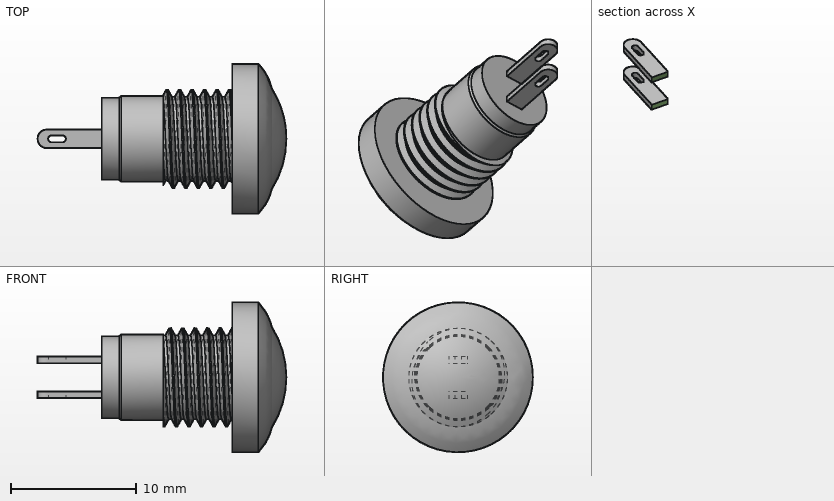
import cadquery as cq
import math


flange_diameter = 12.0
flange_thickness = 2.1
head_height = 4.35
dome_diameter = 8.0
shoulder_height = 1.09
shoulder_radius = 4.3

thread_length = 5.5
thread_pitch = 1.0
major_diameter = 7.88
minor_diameter = 6.74
crest_width = thread_pitch / 8
root_width = thread_pitch / 4
first_crest_offset = 0.055

barrel_diameter = 6.87
barrel_length = 3.53
spigot_diameter = 6.58
spigot_length = 1.4
barrel_bevel_length = 0.18

tag_length = 5.12
tag_width = 1.5
tag_thickness = 0.55
tag_spacing = 2.79
slot_length = 1.4
slot_width = 0.52
slot_to_tip = 1.56

thread_rear_x = -thread_length
barrel_rear_x = thread_rear_x - barrel_length
rear_face_x = barrel_rear_x - spigot_length
tag_tip_x = rear_face_x - tag_length
shoulder_top_x = flange_thickness + shoulder_height


def cylinder(diameter, start_x, end_x):
    """Solid cylinder on the X axis."""
    return cq.Workplane("YZ", origin=(start_x, 0, 0)).circle(diameter / 2).extrude(end_x - start_x)


def make_head():
    """Flange with a convex shoulder that rises to a central spherical dome."""
    flange_radius = flange_diameter / 2
    dome_radius = dome_diameter / 2

    radial_run = flange_radius - dome_radius
    chord = math.hypot(shoulder_height, radial_run)
    sagitta = shoulder_radius - math.sqrt(shoulder_radius**2 - (chord / 2) ** 2)
    shoulder_mid_x = flange_thickness + shoulder_height / 2 + sagitta * radial_run / chord
    shoulder_mid_radius = (flange_radius + dome_radius) / 2 + sagitta * shoulder_height / chord

    cap_height = head_height - shoulder_top_x
    sphere_radius = (dome_radius**2 + cap_height**2) / (2 * cap_height)
    half_angle = math.asin(dome_radius / sphere_radius) / 2
    dome_mid_x = head_height - sphere_radius * (1 - math.cos(half_angle))
    dome_mid_radius = sphere_radius * math.sin(half_angle)

    profile = (
        cq.Workplane("XY")
        .moveTo(0, 0)
        .lineTo(0, flange_radius)
        .lineTo(flange_thickness, flange_radius)
        .threePointArc((shoulder_mid_x, shoulder_mid_radius), (shoulder_top_x, dome_radius))
        .threePointArc((dome_mid_x, dome_mid_radius), (head_height, 0))
        .close()
    )
    return profile.revolve(360, (0, 0, 0), (1, 0, 0))


def make_thread():
    """Right-hand threaded length: a core cylinder with a helical ridge around it."""
    minor_radius = minor_diameter / 2
    major_radius = major_diameter / 2
    embed = 0.1
    flank_slope = (thread_pitch - crest_width - root_width) / 2 / (major_radius - minor_radius)
    base_radius = minor_radius - embed
    base_half_width = (thread_pitch - root_width) / 2 + flank_slope * embed

    ridge_start = thread_rear_x + first_crest_offset - 2 * thread_pitch
    ridge_length = thread_length + 4 * thread_pitch

    path = cq.Wire.makeHelix(thread_pitch, ridge_length, minor_radius)
    ridge = (
        cq.Workplane("XZ")
        .polyline([
            (base_radius, -base_half_width),
            (major_radius, -crest_width / 2),
            (major_radius, crest_width / 2),
            (base_radius, base_half_width),
        ])
        .close()
        .sweep(cq.Workplane(path), isFrenet=True)
        .rotate((0, 0, 0), (0, 1, 0), 90)
        .translate((ridge_start, 0, 0))
    )
    trim_width = 2 * major_diameter
    trim_block = cq.Workplane("YZ").rect(trim_width, trim_width).extrude(-thread_length)
    return cylinder(minor_diameter, thread_rear_x, 0).union(ridge.intersect(trim_block))


def make_barrel():
    """Plain barrel whose rear edge is bevelled down to the spigot."""
    barrel_bevel_height = (barrel_diameter - spigot_diameter) / 2
    barrel = (
        cylinder(barrel_diameter, barrel_rear_x, thread_rear_x)
        .faces("<X")
        .chamfer(barrel_bevel_length, barrel_bevel_height)
    )
    return barrel.union(cylinder(spigot_diameter, rear_face_x, barrel_rear_x))


def make_housing():
    return make_head().union(make_thread()).union(make_barrel())


def make_tag(center_z):
    """Flat solder tag with a round tip and a wire slot, standing on the spigot's rear face."""
    half_width = tag_width / 2
    tip_center_x = tag_tip_x + half_width
    blank = (
        cq.Workplane("XY", origin=(0, 0, center_z - tag_thickness / 2))
        .moveTo(rear_face_x, -half_width)
        .lineTo(rear_face_x, half_width)
        .lineTo(tip_center_x, half_width)
        .threePointArc((tag_tip_x, 0), (tip_center_x, -half_width))
        .close()
        .extrude(tag_thickness)
    )
    slot = (
        cq.Workplane("XY", origin=(tag_tip_x + slot_to_tip, 0, center_z - tag_thickness / 2))
        .slot2D(slot_length, slot_width)
        .extrude(tag_thickness)
    )
    return blank.cut(slot)


housing = make_housing()
tags = [make_tag(side * tag_spacing / 2) for side in (-1, 1)]

result = cq.Compound.makeCompound([housing.solids().val(), *[tag.solids().val() for tag in tags]])